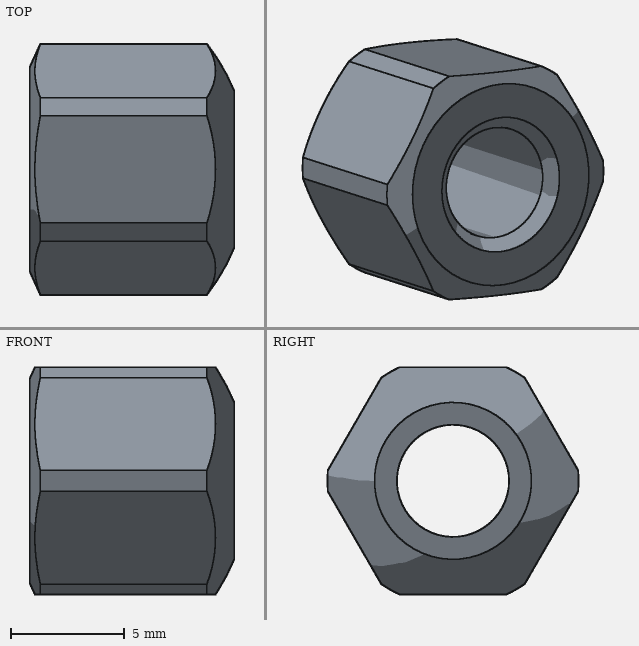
import cadquery as cq
import math

length = 9.0
across_flats = 10.0
corner_diameter = 11.05

face_diameter = 9.0
corner_chamfer_length = 0.47

seat_radius = 9.0
seat_face_diameter = 6.9

bore_diameter = 4.92
countersink_diameter = 6.0
countersink_angle = 90.0


def sphere_depth(radius):
    """Axial distance from the sphere centre to its surface at a radius from the axis."""
    return math.sqrt(seat_radius**2 - radius**2)


def make_hexagon():
    """Hexagonal bar with flats at the top and bottom and corners along Y."""
    sharp_corner_diameter = across_flats / math.cos(math.radians(30))
    return cq.Workplane("YZ").polygon(6, sharp_corner_diameter).extrude(length)


def make_turned_envelope():
    """Revolved profile that trims the corners and shapes both ends."""
    face_radius = face_diameter / 2
    corner_radius = corner_diameter / 2
    seat_face_radius = seat_face_diameter / 2
    mid_radius = (corner_radius + seat_face_radius) / 2
    sphere_centre = length - sphere_depth(seat_face_radius)

    return (
        cq.Workplane("XY")
        .lineTo(0, face_radius)
        .lineTo(corner_chamfer_length, corner_radius)
        .lineTo(sphere_centre + sphere_depth(corner_radius), corner_radius)
        .threePointArc(
            (sphere_centre + sphere_depth(mid_radius), mid_radius),
            (length, seat_face_radius),
        )
        .lineTo(length, 0)
        .close()
        .revolve(360, (0, 0, 0), (1, 0, 0))
    )


def make_bore():
    """Through hole with a countersink at the flat end."""
    bore_radius = bore_diameter / 2
    countersink_radius = countersink_diameter / 2
    half_angle = math.radians(countersink_angle / 2)
    countersink_depth = (countersink_radius - bore_radius) / math.tan(half_angle)
    return (
        cq.Workplane("XY")
        .lineTo(0, countersink_radius)
        .lineTo(countersink_depth, bore_radius)
        .lineTo(length, bore_radius)
        .lineTo(length, 0)
        .close()
        .revolve(360, (0, 0, 0), (1, 0, 0))
    )


result = make_hexagon().intersect(make_turned_envelope()).cut(make_bore())